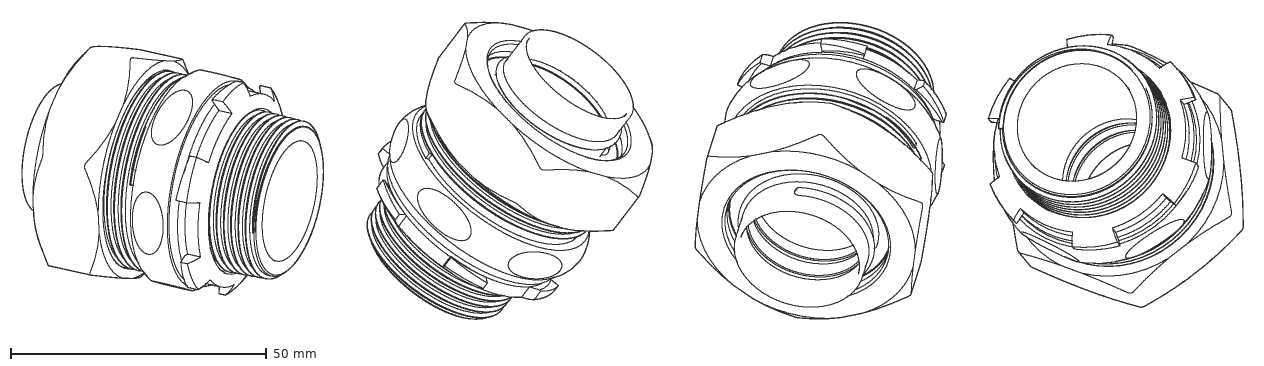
import cadquery as cq
import math


TOTAL_LENGTH = 52.29

FERRULE_RADIUS = 13.0
FERRULE_BORE = 12.05
FERRULE_END_X = 16.0
LIP_FILLET = 0.45
GROOVE_RADIUS = 12.45
GROOVE_WIDTH = 1.3
GROOVE_STARTS_X = (7.3, 12.0)
FLANGE_START_X = 11.0
FLANGE_RADIUS = 17.5
TROUGH_RADIUS = 1.6
RIB_RADIUS = 1.0
RIB_CREST = 13.85
RIB_PITCH = 4.0
RIB_TURNS = 1.3
RIB_START_X = 5.0
RIB_START_CLOCK = 94

NUT_START_X = 7.0
NUT_END_X = 21.3
NUT_APOTHEM = 21.73
NUT_EDGE_FILLET = 1.1
NUT_TILT = 5.57
NUT_FACE_RADIUS = 21.85
NUT_CHAMFER_DEPTH = 2.7
NUT_CORNER_RADIUS = 25.1
NUT_MOUTH_RADIUS = 16.4
NUT_MOUTH_CHAMFER = 0.5
NUT_SHOULDER_X = 9.5
NUT_THREAD_BORE = 19.85

GLAND_OUTER_RADIUS = 19.7

BODY_START_X = 13.0
BODY_BORE = 12.05
THREAD_PITCH = 1.565
THREAD_HEIGHT = 0.75
THREAD_BASE = 1.0
THREAD_CREST_FLAT = 0.15
THREAD_EMBED = 0.2
GLAND_THREAD_ROOT = 19.0
GLAND_THREAD_START_X = 15.54
GLAND_THREAD_START_CLOCK = 90
GLAND_THREAD_TURNS = 7.2
RUNOUT_START_X = 26.5
RUNOUT_START_CLOCK = 27
RUNOUT_SWEEP = 180
COLLAR_START_X = 27.8
COLLAR_END_X = 35.85
COLLAR_RADIUS = 22.25
COLLAR_APOTHEM = 21.2
COLLAR_ARC_END_RADIUS = 20.7
NIPPLE_TAPER = 1.79
NIPPLE_END_ROOT = 15.1
NIPPLE_END_CHAMFER = 0.3
NIPPLE_THREAD_START_X = 38.4
NIPPLE_THREAD_END_X = 52.16
NIPPLE_THREAD_END_CLOCK = 0

WASHER_END_X = 37.75
WASHER_RADIUS = 20.0

LOCKNUT_FACE_X = 39.05
LOCKNUT_END_X = 42.75
LOCKNUT_RADIUS = 21.85
LOCKNUT_RIM_X = 40.2
LOCKNUT_SEAT_RADIUS = 19.35
LOCKNUT_SEAT_X = 41.9
LOCKNUT_END_RADIUS = 16.7
LOCKNUT_BORE = 16.55
CLAW_COUNT = 6
CLAW_CENTRE_CLOCK = 28.5
CLAW_SPAN = 24
CLAW_TIP_X = 37.85
CLAW_TIP_RADIUS = 21.5
CLAW_LOW_X = 38.75


def revolve_x(sketch):
    """Turn an (x, radius) outline, drawn on the XY plane, round the X axis."""
    return sketch.close().revolve(360, (0, 0, 0), (1, 0, 0))


def tube(start_x, end_x, outer, inner):
    ring = cq.Workplane("YZ").workplane(offset=start_x).circle(outer).circle(inner)
    return ring.extrude(end_x - start_x)


def turn_to_clock(shape, clock):
    """Turn a shape lying at clock angle 0 (the -Y side) round to another clock angle."""
    return shape.rotate((0, 0, 0), (1, 0, 0), -clock)


def sector(start_x, end_x, start_clock, sweep, reach=30):
    """Wedge round the X axis that spans a range of clock angles."""
    outline = cq.Workplane("YZ").workplane(offset=start_x).lineTo(-reach, 0)
    half = math.radians(sweep / 2)
    full = math.radians(sweep)
    outline = outline.threePointArc(
        (-reach * math.cos(half), reach * math.sin(half)),
        (-reach * math.cos(full), reach * math.sin(full)),
    )
    return turn_to_clock(outline.close().extrude(end_x - start_x), start_clock)


def along_x(shape, start_x, start_clock):
    """Lay a helix built up the Z axis along X, with its start at the given clock angle."""
    laid = shape.rotate((0, 0, 0), (0, 1, 0), 90)
    return turn_to_clock(laid, start_clock + 90).translate((start_x, 0, 0))


def thread_ridge(root_radius, turns, start_x, start_clock, taper=0):
    """Right-hand triangular thread ridge.

    A straight thread runs from start_x towards +X. A tapered one runs from its narrow end at
    start_x towards -X, widening by the taper angle.
    """
    height = turns * THREAD_PITCH
    path = cq.Wire.makeHelix(THREAD_PITCH, height, root_radius)
    if taper > 0:
        path = cq.Wire.makeHelix(THREAD_PITCH, height, root_radius, angle=taper)
    flank_slope = (THREAD_BASE - THREAD_CREST_FLAT) / 2 / THREAD_HEIGHT
    half_crest = THREAD_CREST_FLAT / 2
    half_base = THREAD_BASE / 2 + THREAD_EMBED * flank_slope
    base = root_radius - THREAD_EMBED
    crest = root_radius + THREAD_HEIGHT
    profile = cq.Workplane("XZ").polyline(
        [(base, -half_base), (crest, -half_crest), (crest, half_crest), (base, half_base)]
    ).close()
    ridge = profile.sweep(path, isFrenet=True)
    if taper > 0:
        ridge = ridge.rotate((0, 0, 0), (1, 0, 0), 180)
    return along_x(ridge, start_x, start_clock)


def make_ferrule():
    """Thin tube with a helical rib outside and a flange whose front is a round trough."""
    shell = tube(0, FERRULE_END_X, FERRULE_RADIUS, FERRULE_BORE)
    shell = shell.faces("<X").edges().fillet(LIP_FILLET)
    flange = tube(FLANGE_START_X, FERRULE_END_X, FLANGE_RADIUS, FERRULE_BORE)
    trough_middle = FERRULE_RADIUS + TROUGH_RADIUS
    trough = cq.Workplane("XY").center(FLANGE_START_X, trough_middle).circle(TROUGH_RADIUS)
    trough = trough.revolve(360, (0, -trough_middle, 0), (1, -trough_middle, 0))
    shell = shell.union(flange.cut(trough))

    path_radius = RIB_CREST - RIB_RADIUS
    path = cq.Wire.makeHelix(RIB_PITCH, RIB_PITCH * RIB_TURNS, path_radius)
    rib = cq.Workplane("XZ").center(path_radius, 0).circle(RIB_RADIUS).sweep(path, isFrenet=True)
    rib_start = cq.Workplane("XY").sphere(RIB_RADIUS).translate((path_radius, 0, 0))
    shell = shell.union(along_x(rib, RIB_START_X, RIB_START_CLOCK))
    shell = shell.union(along_x(rib_start, RIB_START_X, RIB_START_CLOCK))
    bore = cq.Workplane("YZ").circle(FERRULE_BORE).extrude(FERRULE_END_X)
    shell = shell.cut(bore)
    for groove_x in GROOVE_STARTS_X:
        shell = shell.cut(tube(groove_x, groove_x + GROOVE_WIDTH, GROOVE_RADIUS, FERRULE_BORE / 2))
    return shell


def make_gland_nut():
    length = NUT_END_X - NUT_START_X
    corner_diameter = 2 * NUT_APOTHEM / math.cos(math.pi / 6)
    hexagon = cq.Workplane("YZ").workplane(offset=NUT_START_X).polygon(6, corner_diameter)
    hexagon = hexagon.extrude(length).edges("|X").fillet(NUT_EDGE_FILLET)
    hexagon = turn_to_clock(hexagon, -30 - NUT_TILT)
    turned_blank = revolve_x(
        cq.Workplane("XY").moveTo(NUT_START_X, 0)
        .lineTo(NUT_START_X, NUT_FACE_RADIUS)
        .lineTo(NUT_START_X + NUT_CHAMFER_DEPTH, NUT_CORNER_RADIUS)
        .lineTo(NUT_END_X - NUT_CHAMFER_DEPTH, NUT_CORNER_RADIUS)
        .lineTo(NUT_END_X, NUT_FACE_RADIUS)
        .lineTo(NUT_END_X, 0)
    )
    bore = revolve_x(
        cq.Workplane("XY").moveTo(NUT_START_X, 0)
        .lineTo(NUT_START_X, NUT_MOUTH_RADIUS + NUT_MOUTH_CHAMFER)
        .lineTo(NUT_START_X + NUT_MOUTH_CHAMFER, NUT_MOUTH_RADIUS)
        .lineTo(NUT_SHOULDER_X, NUT_MOUTH_RADIUS)
        .lineTo(NUT_SHOULDER_X, NUT_THREAD_BORE)
        .lineTo(NUT_END_X, NUT_THREAD_BORE)
        .lineTo(NUT_END_X, 0)
    )
    return hexagon.intersect(turned_blank).cut(bore)


def make_gland_ring():
    ring = tube(NUT_SHOULDER_X, BODY_START_X, GLAND_OUTER_RADIUS, NUT_MOUTH_RADIUS)
    return ring.cut(tube(FLANGE_START_X, BODY_START_X, FLANGE_RADIUS, FERRULE_RADIUS))


def nipple_root(x):
    return NIPPLE_END_ROOT + (TOTAL_LENGTH - x) * math.tan(math.radians(NIPPLE_TAPER))


def make_collar():
    """Barrel-shaped wrench collar with six flats ground into it."""
    mid_x = (COLLAR_START_X + COLLAR_END_X) / 2
    barrel = revolve_x(
        cq.Workplane("XY").moveTo(COLLAR_START_X, 0)
        .lineTo(COLLAR_START_X, COLLAR_ARC_END_RADIUS)
        .threePointArc((mid_x, COLLAR_RADIUS), (COLLAR_END_X, COLLAR_ARC_END_RADIUS))
        .lineTo(COLLAR_END_X, 0)
    )
    corner_diameter = 2 * COLLAR_APOTHEM / math.cos(math.pi / 6)
    flats = cq.Workplane("YZ").workplane(offset=COLLAR_START_X).polygon(6, corner_diameter)
    flats = turn_to_clock(flats.extrude(COLLAR_END_X - COLLAR_START_X), 30)
    bore = cq.Workplane("YZ").circle(BODY_BORE).extrude(TOTAL_LENGTH)
    return barrel.intersect(flats).cut(bore)


def make_body():
    chamfer_x = TOTAL_LENGTH - NIPPLE_END_CHAMFER
    core = revolve_x(
        cq.Workplane("XY").moveTo(BODY_START_X, FLANGE_RADIUS)
        .lineTo(BODY_START_X, GLAND_THREAD_ROOT)
        .lineTo(COLLAR_END_X, GLAND_THREAD_ROOT)
        .lineTo(COLLAR_END_X, nipple_root(COLLAR_END_X))
        .lineTo(chamfer_x, nipple_root(chamfer_x))
        .lineTo(TOTAL_LENGTH, NIPPLE_END_ROOT - NIPPLE_END_CHAMFER)
        .lineTo(TOTAL_LENGTH, BODY_BORE)
        .lineTo(FERRULE_END_X, BODY_BORE)
        .lineTo(FERRULE_END_X, FLANGE_RADIUS)
    )
    runout = tube(RUNOUT_START_X, COLLAR_START_X, GLAND_THREAD_ROOT + THREAD_HEIGHT, BODY_BORE)
    runout = runout.intersect(sector(RUNOUT_START_X, COLLAR_START_X, RUNOUT_START_CLOCK, RUNOUT_SWEEP))
    gland_thread = thread_ridge(
        GLAND_THREAD_ROOT, GLAND_THREAD_TURNS, GLAND_THREAD_START_X, GLAND_THREAD_START_CLOCK
    )
    nipple_turns = (NIPPLE_THREAD_END_X - NIPPLE_THREAD_START_X) / THREAD_PITCH
    nipple_thread = thread_ridge(
        nipple_root(NIPPLE_THREAD_END_X), nipple_turns, NIPPLE_THREAD_END_X,
        NIPPLE_THREAD_END_CLOCK, NIPPLE_TAPER
    )
    past_end = cq.Workplane("YZ").workplane(offset=TOTAL_LENGTH).circle(COLLAR_RADIUS)
    nipple_thread = nipple_thread.cut(past_end.extrude(THREAD_PITCH))
    body = core.union(gland_thread).union(make_collar()).union(runout)
    return body.union(nipple_thread)


def make_washer():
    return tube(COLLAR_END_X, WASHER_END_X, WASHER_RADIUS, nipple_root(COLLAR_END_X))


def make_locknut():
    """Dished nut whose rim carries six ramped claws that point at the washer."""
    rim_arc_mid = (LOCKNUT_SEAT_X, LOCKNUT_SEAT_RADIUS)
    disc = revolve_x(
        cq.Workplane("XY").moveTo(CLAW_TIP_X, CLAW_TIP_RADIUS)
        .lineTo(CLAW_TIP_X, LOCKNUT_RADIUS)
        .lineTo(LOCKNUT_RIM_X, LOCKNUT_RADIUS)
        .threePointArc(rim_arc_mid, (LOCKNUT_END_X, LOCKNUT_END_RADIUS))
        .lineTo(LOCKNUT_END_X, LOCKNUT_BORE)
        .lineTo(LOCKNUT_FACE_X, LOCKNUT_BORE)
        .lineTo(LOCKNUT_FACE_X, LOCKNUT_SEAT_RADIUS)
    )
    notch_ring = tube(CLAW_TIP_X, LOCKNUT_SEAT_X, LOCKNUT_RADIUS + 1, LOCKNUT_SEAT_RADIUS)
    half_claw = LOCKNUT_RADIUS * math.sin(math.radians(CLAW_SPAN / 2))
    ramp = cq.Workplane("XZ", origin=(0, -LOCKNUT_SEAT_RADIUS, 0)).polyline(
        [(CLAW_TIP_X, -half_claw), (CLAW_LOW_X, half_claw), (CLAW_TIP_X, half_claw)]
    ).close().extrude(LOCKNUT_RADIUS - LOCKNUT_SEAT_RADIUS)
    pitch = 360 / CLAW_COUNT
    for i in range(CLAW_COUNT):
        claw_centre = CLAW_CENTRE_CLOCK + i * pitch
        notch = sector(CLAW_TIP_X, LOCKNUT_SEAT_X, claw_centre + CLAW_SPAN / 2, pitch - CLAW_SPAN)
        disc = disc.cut(notch_ring.intersect(notch))
        disc = disc.cut(turn_to_clock(ramp, claw_centre))
    return disc


ferrule = make_ferrule()
gland_nut = make_gland_nut()
gland_ring = make_gland_ring()
body = make_body()
washer = make_washer()
locknut = make_locknut()

result = cq.Compound.makeCompound([
    ferrule.val(),
    gland_nut.val(),
    gland_ring.val(),
    body.val(),
    washer.val(),
    locknut.val(),
])